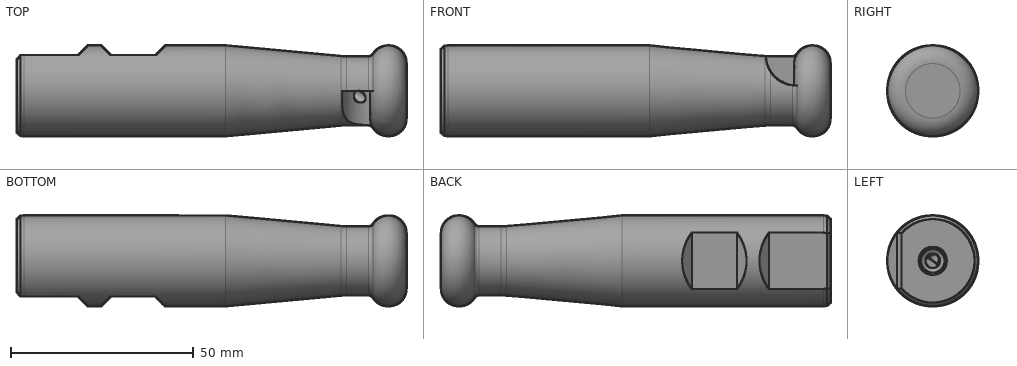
import cadquery as cq
import math

length = 107
body_radius = 12.5
body_end = 57.3

neck_radius = 9.5
neck_corner = 89.7
neck_blend = 0.7
neck_end = 96.5

rim_radius = 5.0
rim_x = length - rim_radius
rim_center = body_radius - rim_radius

end_chamfer = 1.1
end_rounding = 0.1
end_rounding_end = 2.0

flat_depth = 2.7
flat_y = body_radius - flat_depth
flat_chamfer = 1.3
first_flat_end = 16.9
second_flat_start = 25.8
second_flat_end = 38.1

bore_radius = 6.5 / 2
bore_depth = 26.8
mouth_radius = 7.7 / 2
pilot_radius = 4.0 / 2
drill_cone_height = (bore_radius - pilot_radius) / math.tan(math.radians(59))

notch_radius = 8.1
notch_x = 97.4
notch_z = 9.6
outlet_mouth = cq.Vector(93.7, -1.5, 2.1)
outlet_radius = 3.0 / 2
pilot_end = 90.5


def make_handle():
    """Revolve the full outer profile about X."""
    taper_angle = math.atan2(body_radius - neck_radius, neck_corner - body_end)
    blend_start = (
        neck_corner - neck_blend * math.cos(taper_angle),
        neck_radius + neck_blend * math.sin(taper_angle),
    )

    rim_dx = rim_x - neck_end
    rim_dy = neck_radius - rim_center
    fillet = (rim_dx**2 + rim_dy**2 - rim_radius**2) / (2 * (rim_radius - rim_dy))
    fillet_share = rim_radius / (rim_radius + fillet)
    rim_start = (
        rim_x - rim_dx * fillet_share,
        rim_center + (rim_dy + fillet) * fillet_share,
    )

    profile = (
        cq.Workplane("XY")
        .lineTo(0, body_radius - end_chamfer)
        .lineTo(end_chamfer, body_radius - end_rounding)
        .lineTo(end_rounding_end, body_radius)
        .lineTo(body_end, body_radius)
        .lineTo(*blend_start)
        .tangentArcPoint((neck_corner + neck_blend, neck_radius), relative=False)
        .lineTo(neck_end, neck_radius)
        .tangentArcPoint(rim_start, relative=False)
        .threePointArc((rim_x, body_radius), (length, rim_center))
        .lineTo(length, 0)
        .close()
    )
    return profile.revolve(360, (0, 0, 0), (1, 0, 0))


def flat_cutter(points):
    """Extrude an XY outline through the whole height of the body."""
    return cq.Workplane("XY").polyline(points).close().extrude(body_radius, both=True)


def make_flats():
    """Two flats with 45 degree run-outs, the first open at the chamfered end."""
    first = flat_cutter([
        (0, flat_y - flat_chamfer),
        (end_chamfer, flat_y),
        (first_flat_end, flat_y),
        (first_flat_end + flat_depth, body_radius),
        (0, body_radius),
    ])
    second = flat_cutter([
        (second_flat_start, flat_y),
        (second_flat_end, flat_y),
        (second_flat_end + flat_depth, body_radius),
        (second_flat_start - flat_depth, body_radius),
    ])
    return first.union(second)


def make_bore():
    """Stepped bore with a countersunk mouth and a drill-point shoulder."""
    mouth_depth = mouth_radius - bore_radius
    profile = (
        cq.Workplane("XY")
        .lineTo(0, mouth_radius)
        .lineTo(mouth_depth, bore_radius)
        .lineTo(bore_depth, bore_radius)
        .lineTo(bore_depth + drill_cone_height, pilot_radius)
        .lineTo(pilot_end, pilot_radius)
        .lineTo(pilot_end, 0)
        .close()
    )
    return profile.revolve(360, (0, 0, 0), (1, 0, 0))


def make_rim():
    """Torus that forms the rounded rim of the pommel."""
    center = cq.Vector(rim_x, 0, 0)
    axis = cq.Vector(1, 0, 0)
    return cq.Workplane(cq.Solid.makeTorus(rim_center, rim_radius, center, axis))


def make_notch():
    """Round-bottomed notch on the -Y half of the neck, running on inside the rim."""
    return (
        cq.Workplane("XZ")
        .moveTo(notch_x - notch_radius, body_radius)
        .lineTo(notch_x - notch_radius, notch_z)
        .threePointArc((notch_x, notch_z - notch_radius), (notch_x + notch_radius, notch_z))
        .lineTo(notch_x + notch_radius, body_radius)
        .close()
        .extrude(body_radius)
    )


def make_outlet():
    """Slanted hole from the end of the bore up to the notch floor."""
    start = cq.Vector(pilot_end, 0, 0)
    direction = outlet_mouth - start
    reach = 1.5 * direction.Length
    return cq.Workplane(cq.Solid.makeCylinder(outlet_radius, reach, start, direction))


rim = make_rim()
handle = make_handle().cut(make_flats()).cut(make_bore())
result = handle.cut(make_notch().cut(rim)).cut(make_outlet().cut(rim))